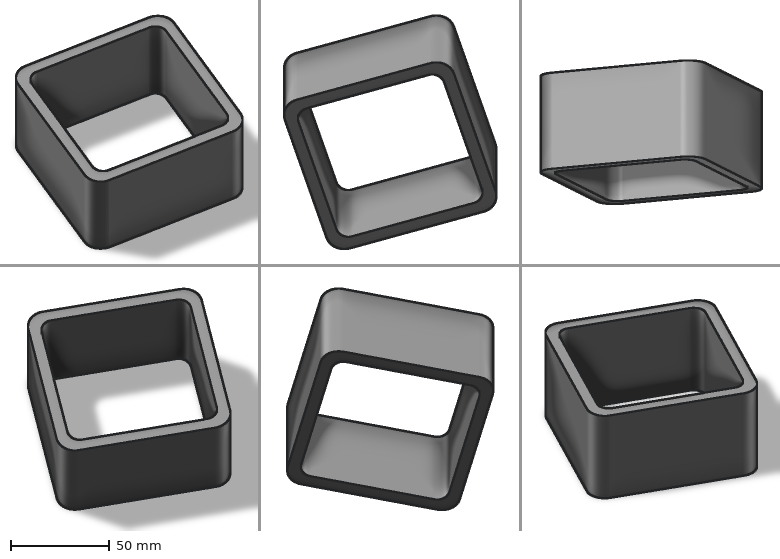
import cadquery as cq

outer_side = 90.0
height = 50.0
wall = 6.3
outer_radius = 9.45
inner_radius = 6.3

inner_side = outer_side - 2 * wall


def rounded_block(side, corner_radius):
    """Square block centred on the origin with rounded vertical edges."""
    return cq.Workplane("XY").box(side, side, height).edges("|Z").fillet(corner_radius)


outer_block = rounded_block(outer_side, outer_radius)
bore = rounded_block(inner_side, inner_radius)

result = outer_block.cut(bore)